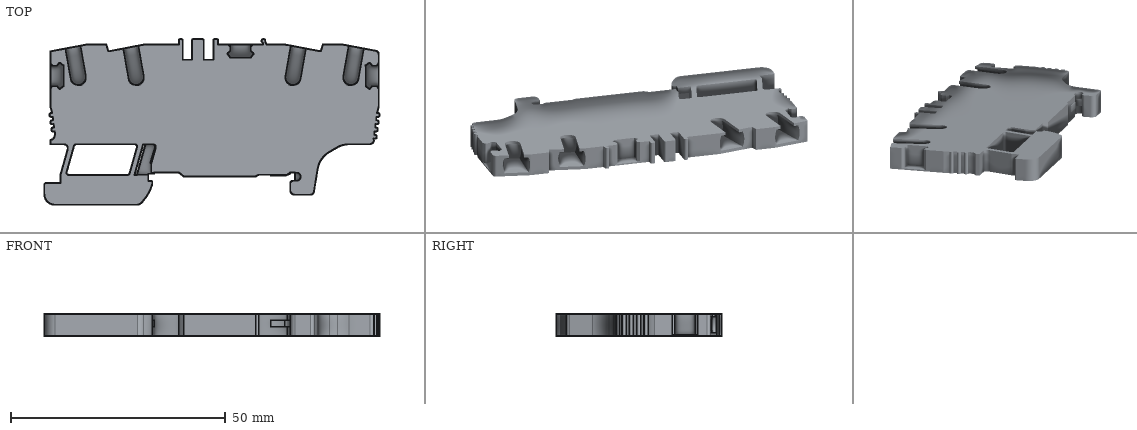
import cadquery as cq
import math


THICKNESS = 5.2
HALF_WIDTH = 38.3
TOP_Y = 37.43
SHOULDER_Y = 14.1
UNDERSIDE_Y = 7.5
RAIL_Y = 7.0
BELLY_Y = 6.6
BELLY_LEFT = -7.2
BELLY_RIGHT = 9.57
RELIEF_RISE_RUN = 1.1
SEAT_LEFT = 10.25
SEAT_RIGHT = 16.95

SLOPE_LOW_Y = 35.83
INNER_SLOPE_TOP_X = 16.4
INNER_SLOPE_END_X = 24.75
NOTCH_OUTER_X = 25.25
OUTER_SLOPE_TOP_X = 29.8
CORNER_ROUND = 0.8

LEFT_TEETH = 3
RIGHT_TEETH = 4
TOOTH_TIP_X = 38.53
TOOTH_TIP_Y = 21.05
TOOTH_PITCH = 1.7
TOOTH_STEP_IN = 0.22
TOOTH_UPPER_ROOT = (0.6, 0.4)
TOOTH_LOWER_ROOT = (0.75, 0.5)
GRIP_START_Y = 22.85
SCOOP_MIDDLE = (-37.3, 16.2)
SCOOP_END = (-37.65, 15.4)
SCOOP_LIP_Y = 15.1
SHOULDER_END_X = 36.2
SHOULDER_ROUND_MIDDLE = (36.85, 14.4)
SHOULDER_ROUND_END = (37.2, 14.9)

FLANK_ANGLE = 30.0
FLANK_TOP = (28.65, 13.4)
FLANK_BEND_X = 31.25
FLANK_LOW_X = 26.8
HOOK_BACK_TOP = (24.08, 8.4)
HOOK_BACK_LOW = (23.2, 3.1)
HOOK_BOTTOM_Y = 2.33
HOOK_BOTTOM_RIGHT = 22.3
HOOK_TIP_X = 17.6
HOOK_TIP_ROUND = 1.15
HOOK_LIP_ROUND = 0.7
THROAT_LOW_Y = 5.63
THROAT_END_X = 19.15

GROOVE_TILT = 10.0
GROOVE_WIDTH = 3.6
GROOVE_RUN = 12.0
GROOVE_END_X = 18.3
GROOVE_END_Y = 29.75
GROOVE_PITCH = 13.5
GROOVE_LIP = 0.7
CHANNEL_FLOOR = 0.75
CHANNEL_OVERRUN = 0.1
CHANNEL_END_HALF = 1.82
CHANNEL_OPEN_HALF = 3.15
CHANNEL_BULGE = 0.4

POCKET_FLOOR = 0.3
POCKET_SIDE_Y = 30.1
POCKET_TOP_X = 6.05
POCKET_DEPTH = 3.07
POCKET_MOUTH_HALF = 3.0
POCKET_NECK_HALF = 2.4
POCKET_BARB_HALF = 3.1
POCKET_NECK_START = 0.45
POCKET_NECK_END = 1.5
POCKET_BARB_DEPTH = 2.15

MARKER_TOP_Y = 38.7
SLOT_FLOOR_Y = 33.9
MARKER_ROUND = 0.4
MARKER_POSTS = [(-8.35, -7.38), (-5.3, -2.5), (-0.3, 0.85)]
NIB_LEFT = 11.3
NIB_RIGHT = 12.2
NIB_BARB = 0.35
NIB_HEAD_HEIGHT = 0.65

FOOT_LEFT = -39.74
FOOT_TOP_Y = 5.13
FOOT_STEP_X = -35.97
FOOT_RIGHT = -15.45
FOOT_CORNER = 2.5
FOOT_EDGE_BREAK = 0.3
FOOT_NOSE_X = -14.5
FOOT_NOSE_TOP_Y = 5.6
FOOT_NOSE_LOW_Y = 4.9
FOOT_NOSE_ROUND = 0.35
FOOT_BELLY_MIDDLE = (-15.35, 2.75)
FOOT_BELLY_LOW = (-16.6, 1.0)
FOOT_HEEL_MIDDLE = (-17.25, 0.3)
FOOT_HEEL_X = -18.0
ARM_LEAN = 2.0
ARM_WIDTH = 1.3
LEFT_ARM_X = FOOT_STEP_X
RIGHT_ARM_X = -19.95
ARM_ROUND = 0.5
OUTER_ARM_ROUND = 0.9
RELIEF_WALL_X = -14.75
RELIEF_BEND_Y = 9.8
RELIEF_TOP = (-13.75, 13.3)
RELIEF_ROUND = 0.75

WEB_BOTTOM = 2.2
WEB_TOP = 3.65
WEB_GAP = 0.5
WEB_RIGHT_X = -14.1
WEB_STEP = 0.25
HOOK_WEB_X = 18.75
DETENT_LEFT = 13.1
DETENT_RIGHT = 16.4
DETENT_DROP = 0.25

OVERLAP = 0.2


def plate(outline, bottom=0.0, top=THICKNESS):
    """Closed polygon extruded between two Z levels."""
    return cq.Workplane("XY").workplane(offset=bottom).polyline(outline).close().extrude(top - bottom)


def mirrored(points):
    return [(-x, y) for x, y in reversed(points)]


def round_corner(body, x, y, radius):
    """Fillet the edge parallel to Z that passes nearest to (x, y)."""
    nearest = cq.selectors.NearestToPointSelector((x, y, THICKNESS / 2))
    return body.edges("|Z").edges(nearest).fillet(radius)


def tooth_points(index):
    """Upper root, tip and lower root of a tooth on the +X side."""
    tip_x = TOOTH_TIP_X - index * TOOTH_STEP_IN
    tip_y = TOOTH_TIP_Y - index * TOOTH_PITCH
    upper_root = (tip_x - TOOTH_UPPER_ROOT[0], tip_y + TOOTH_UPPER_ROOT[1])
    lower_root = (tip_x - TOOTH_LOWER_ROOT[0], tip_y - TOOTH_LOWER_ROOT[1])
    return [upper_root, (tip_x, tip_y), lower_root]


def draw_left_grip(sketch):
    """Left wall from the shoulder up to the plain wall."""
    sketch = (
        sketch.moveTo(-HALF_WIDTH, SHOULDER_Y)
        .lineTo(-HALF_WIDTH, SCOOP_LIP_Y)
        .lineTo(*SCOOP_END)
    )
    for index in reversed(range(LEFT_TEETH)):
        lower_root, tip, upper_root = mirrored(tooth_points(index))
        if index == LEFT_TEETH - 1:
            sketch = sketch.threePointArc(SCOOP_MIDDLE, lower_root)
        else:
            sketch = sketch.lineTo(*lower_root)
        sketch = sketch.threePointArc(tip, upper_root)
    return sketch.lineTo(-HALF_WIDTH, GRIP_START_Y)


def draw_top_edge(sketch):
    """Sloped wire-entry edges and the flat edge between them, from left to right."""
    right_half = [
        (INNER_SLOPE_TOP_X, TOP_Y),
        (INNER_SLOPE_END_X, SLOPE_LOW_Y),
        (NOTCH_OUTER_X, TOP_Y),
        (OUTER_SLOPE_TOP_X, TOP_Y),
        (HALF_WIDTH, SLOPE_LOW_Y),
    ]
    for point in mirrored(right_half) + right_half:
        sketch = sketch.lineTo(*point)
    return sketch


def draw_right_grip(sketch):
    """Right wall from the plain wall down to the shoulder."""
    sketch = sketch.lineTo(HALF_WIDTH, GRIP_START_Y)
    for index in range(RIGHT_TEETH):
        upper_root, tip, lower_root = tooth_points(index)
        sketch = sketch.lineTo(*upper_root).threePointArc(tip, lower_root)
    return (
        sketch.lineTo(*SHOULDER_ROUND_END)
        .threePointArc(SHOULDER_ROUND_MIDDLE, (SHOULDER_END_X, SHOULDER_Y))
    )


def draw_hook(sketch):
    """Concave flank below the right shoulder, then the hook and its throat."""
    flank_low_y = FLANK_TOP[1] - (FLANK_TOP[0] - FLANK_LOW_X) * math.tan(math.radians(FLANK_ANGLE))
    throat_middle_y = (THROAT_LOW_Y + UNDERSIDE_Y) / 2
    throat_radius = (UNDERSIDE_Y - THROAT_LOW_Y) / 2
    return (
        sketch.lineTo(FLANK_BEND_X, SHOULDER_Y)
        .tangentArcPoint(FLANK_TOP, relative=False)
        .lineTo(FLANK_LOW_X, flank_low_y)
        .tangentArcPoint(HOOK_BACK_TOP, relative=False)
        .lineTo(*HOOK_BACK_LOW)
        .tangentArcPoint((HOOK_BOTTOM_RIGHT, HOOK_BOTTOM_Y), relative=False)
        .lineTo(HOOK_TIP_X + HOOK_TIP_ROUND, HOOK_BOTTOM_Y)
        .radiusArc((HOOK_TIP_X, HOOK_BOTTOM_Y + HOOK_TIP_ROUND), HOOK_TIP_ROUND)
        .lineTo(HOOK_TIP_X, THROAT_LOW_Y - HOOK_LIP_ROUND)
        .radiusArc((HOOK_TIP_X + HOOK_LIP_ROUND, THROAT_LOW_Y), HOOK_LIP_ROUND)
        .lineTo(THROAT_END_X, THROAT_LOW_Y)
        .threePointArc((THROAT_END_X + throat_radius, throat_middle_y), (THROAT_END_X, UNDERSIDE_Y))
        .lineTo(HOOK_TIP_X, UNDERSIDE_Y)
    )


def draw_underside(sketch):
    """Rail seat, belly and the relieved wall beside the right arm, from right to left."""
    return (
        sketch.lineTo(SEAT_RIGHT, RAIL_Y)
        .lineTo(SEAT_LEFT, RAIL_Y)
        .lineTo(BELLY_RIGHT, BELLY_Y)
        .lineTo(BELLY_LEFT, BELLY_Y)
        .lineTo(BELLY_LEFT - RELIEF_RISE_RUN, UNDERSIDE_Y)
        .lineTo(RELIEF_WALL_X, UNDERSIDE_Y)
        .lineTo(RELIEF_WALL_X, RELIEF_BEND_Y)
        .lineTo(*RELIEF_TOP)
        .tangentArcPoint((RELIEF_TOP[0] - RELIEF_ROUND, SHOULDER_Y), relative=False)
    )


def make_housing():
    sketch = cq.Workplane("XY")
    for draw_stretch in (draw_left_grip, draw_top_edge, draw_right_grip, draw_hook, draw_underside):
        sketch = draw_stretch(sketch)
    housing = sketch.close().extrude(THICKNESS)
    return round_corner(housing, HALF_WIDTH, SLOPE_LOW_Y, CORNER_ROUND)


def make_marker_post(left, right):
    post = cq.Workplane("XY").box(right - left, MARKER_TOP_Y - SLOT_FLOOR_Y, THICKNESS, centered=False)
    return post.edges("|Z and >Y").fillet(MARKER_ROUND).translate((left, SLOT_FLOOR_Y, 0))


def add_marker_posts(body):
    """Clear the stretch between the outer posts, then stand the three posts in it."""
    gap_left = MARKER_POSTS[0][1]
    gap_right = MARKER_POSTS[-1][0]
    gap = cq.Workplane("XY").box(gap_right - gap_left, MARKER_TOP_Y - SLOT_FLOOR_Y, THICKNESS, centered=False)
    body = body.cut(gap.translate((gap_left, SLOT_FLOOR_Y, 0)))
    for left, right in MARKER_POSTS:
        body = body.union(make_marker_post(left, right))
    return body


def make_nib():
    """Small barbed catch on the upper edge."""
    head_y = TOP_Y + NIB_HEAD_HEIGHT
    head_right = NIB_RIGHT - NIB_BARB
    root_y = TOP_Y - OVERLAP
    return (
        cq.Workplane("XY").moveTo(NIB_LEFT, root_y)
        .lineTo(NIB_LEFT, head_y - NIB_BARB)
        .lineTo(NIB_LEFT - NIB_BARB, head_y)
        .threePointArc(((NIB_LEFT - NIB_BARB + head_right) / 2, MARKER_TOP_Y), (head_right, head_y))
        .lineTo(NIB_RIGHT, root_y)
        .close().extrude(THICKNESS)
    )


def draw_channel_section(plane, half_base):
    """Channel cross-section: flat floor and roof, sides bulging outwards."""
    roof = THICKNESS - GROOVE_LIP
    middle = (CHANNEL_FLOOR + roof) / 2
    half_middle = half_base + CHANNEL_BULGE
    return (
        plane.moveTo(half_base, CHANNEL_FLOOR)
        .threePointArc((half_middle, middle), (half_base, roof))
        .lineTo(-half_base, roof)
        .threePointArc((-half_middle, middle), (-half_base, CHANNEL_FLOOR))
        .close()
    )


def make_groove():
    """Groove along +Y from its rounded end at the origin: narrow mouth over a flared channel."""
    half_width = GROOVE_WIDTH / 2
    mouth = (
        cq.Workplane("XY").workplane(offset=CHANNEL_FLOOR)
        .moveTo(-half_width, GROOVE_RUN).lineTo(-half_width, 0)
        .threePointArc((0, -half_width), (half_width, 0)).lineTo(half_width, GROOVE_RUN)
        .close().extrude(THICKNESS)
    )
    end_plane = cq.Workplane("XZ").workplane(offset=half_width + CHANNEL_OVERRUN)
    closed_end = draw_channel_section(end_plane, CHANNEL_END_HALF)
    open_plane = closed_end.workplane(offset=-GROOVE_RUN)
    channel = draw_channel_section(open_plane, CHANNEL_OPEN_HALF).loft(ruled=True)
    return mouth.union(channel)


def cut_grooves(body):
    groove = make_groove()
    for side in (-1, 1):
        tilted = groove.rotate((0, 0, 0), (0, 0, 1), -side * GROOVE_TILT)
        for end_x in (GROOVE_END_X, GROOVE_END_X + GROOVE_PITCH):
            body = body.cut(tilted.translate((side * end_x, GROOVE_END_Y, 0)))
    return body


def make_pocket():
    """Label pocket opening toward +Y, with its mouth centred on the origin."""
    right_half = [
        (POCKET_MOUTH_HALF, OVERLAP),
        (POCKET_MOUTH_HALF, 0),
        (POCKET_NECK_HALF, -POCKET_NECK_START),
        (POCKET_NECK_HALF, -POCKET_NECK_END),
        (POCKET_BARB_HALF, -POCKET_BARB_DEPTH),
        (POCKET_NECK_HALF, -POCKET_DEPTH),
    ]
    return plate(right_half + mirrored(right_half), POCKET_FLOOR, THICKNESS)


def cut_pockets(body):
    pocket = make_pocket()
    body = body.cut(pocket.translate((POCKET_TOP_X, TOP_Y, 0)))
    for side in (-1, 1):
        turned = pocket.rotate((0, 0, 0), (0, 0, 1), -side * 90)
        body = body.cut(turned.translate((side * HALF_WIDTH, POCKET_SIDE_Y, 0)))
    return body


def make_foot():
    return (
        cq.Workplane("XY").moveTo(FOOT_LEFT + FOOT_CORNER, 0)
        .radiusArc((FOOT_LEFT, FOOT_CORNER), FOOT_CORNER)
        .lineTo(FOOT_LEFT, FOOT_TOP_Y - FOOT_EDGE_BREAK)
        .lineTo(FOOT_LEFT + FOOT_EDGE_BREAK, FOOT_TOP_Y)
        .lineTo(FOOT_STEP_X, FOOT_TOP_Y)
        .lineTo(FOOT_STEP_X, RAIL_Y)
        .lineTo(FOOT_RIGHT, RAIL_Y)
        .lineTo(FOOT_RIGHT, FOOT_NOSE_TOP_Y)
        .lineTo(FOOT_NOSE_X - FOOT_NOSE_ROUND, FOOT_NOSE_TOP_Y)
        .radiusArc((FOOT_NOSE_X, FOOT_NOSE_TOP_Y - FOOT_NOSE_ROUND), FOOT_NOSE_ROUND)
        .lineTo(FOOT_NOSE_X, FOOT_NOSE_LOW_Y)
        .threePointArc(FOOT_BELLY_MIDDLE, FOOT_BELLY_LOW)
        .threePointArc(FOOT_HEEL_MIDDLE, (FOOT_HEEL_X, 0))
        .close().extrude(THICKNESS)
    )


def make_arm(lower_left_x):
    return plate([
        (lower_left_x, RAIL_Y),
        (lower_left_x + ARM_LEAN, SHOULDER_Y),
        (lower_left_x + ARM_LEAN + ARM_WIDTH, SHOULDER_Y),
        (lower_left_x + ARM_WIDTH, RAIL_Y),
    ])


def add_snap_foot(body):
    """Foot on two leaning arms, with the corners of the window between them rounded."""
    body = body.union(make_foot())
    for arm_x in (LEFT_ARM_X, RIGHT_ARM_X):
        body = body.union(make_arm(arm_x))
    for corner_x in (LEFT_ARM_X + ARM_WIDTH, RIGHT_ARM_X):
        body = round_corner(body, corner_x, RAIL_Y, ARM_ROUND)
        body = round_corner(body, corner_x + ARM_LEAN, SHOULDER_Y, ARM_ROUND)
    return round_corner(body, LEFT_ARM_X + ARM_LEAN, SHOULDER_Y, OUTER_ARM_ROUND)


def make_arm_web():
    """Web filling most of the gap between the right arm and the housing."""
    left_low = RIGHT_ARM_X + ARM_WIDTH + WEB_GAP
    right_top = RELIEF_TOP[0] - OVERLAP
    return plate([
        (left_low, RAIL_Y),
        (left_low + ARM_LEAN, SHOULDER_Y),
        (right_top, SHOULDER_Y),
        (right_top, RELIEF_TOP[1] - OVERLAP),
        (RELIEF_WALL_X - OVERLAP, RELIEF_BEND_Y),
        (WEB_RIGHT_X, RELIEF_BEND_Y),
        (WEB_RIGHT_X, RAIL_Y + WEB_STEP),
        (FOOT_RIGHT, RAIL_Y + WEB_STEP),
        (FOOT_RIGHT, RAIL_Y),
    ], WEB_BOTTOM, WEB_TOP)


def make_hook_web():
    right = THROAT_END_X + (UNDERSIDE_Y - THROAT_LOW_Y) / 2 + OVERLAP
    return plate([
        (HOOK_WEB_X, THROAT_LOW_Y),
        (right, THROAT_LOW_Y),
        (right, UNDERSIDE_Y),
        (HOOK_WEB_X, UNDERSIDE_Y),
    ], WEB_BOTTOM, WEB_TOP)


def make_detent():
    """Low bump on the rail seat beside the hook."""
    low_y = RAIL_Y - DETENT_DROP
    return plate([
        (DETENT_LEFT, RAIL_Y),
        (DETENT_LEFT, low_y),
        (DETENT_RIGHT, low_y),
        (HOOK_TIP_X, UNDERSIDE_Y - DETENT_DROP),
        (HOOK_TIP_X, UNDERSIDE_Y),
        (SEAT_RIGHT, UNDERSIDE_Y),
    ], WEB_BOTTOM, WEB_TOP)


result = make_housing()
result = add_marker_posts(result)
result = result.union(make_nib())
result = cut_grooves(result)
result = cut_pockets(result)
result = add_snap_foot(result)
for piece in (make_arm_web(), make_hook_web(), make_detent()):
    result = result.union(piece)